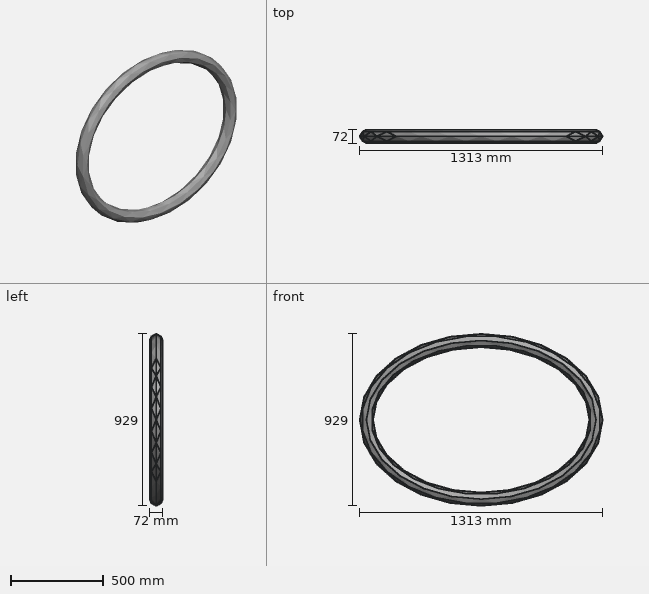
import cadquery as cq
import math


length = 1313.0
height = 929.0
thickness = 72.0

stations = 24
rows = 8

tube_radius = thickness / 2
path_half_length = length / 2 - tube_radius
path_half_height = height / 2 - tube_radius


def ring_point(row, step):
    """Facet corner on the tube; odd rows sit half a step ahead so the triangles interlock."""
    stagger = 0.5 * (row % 2)
    around_ring = 2 * math.pi * (step + stagger) / stations
    around_tube = 2 * math.pi * row / rows

    normal_x = path_half_height * math.cos(around_ring)
    normal_z = path_half_length * math.sin(around_ring)
    normal_length = math.hypot(normal_x, normal_z)

    outward = tube_radius * math.cos(around_tube) / normal_length
    return cq.Vector(
        path_half_length * math.cos(around_ring) + outward * normal_x,
        tube_radius * math.sin(around_tube),
        path_half_height * math.sin(around_ring) + outward * normal_z,
    )


def triangle(corners):
    return cq.Face.makeFromWires(cq.Wire.makePolygon(corners, close=True))


def facet_pair(row, step):
    """Two triangles filling the band between this row and the next, over one step."""
    next_row = (row + 1) % rows
    lead = row % 2
    near_start = ring_point(row, step)
    near_end = ring_point(row, step + 1)
    far_start = ring_point(next_row, step + lead)
    far_end = ring_point(next_row, step + lead + 1)
    return [
        triangle([near_start, near_end, far_start]),
        triangle([near_end, far_end, far_start]),
    ]


facets = []
for row in range(rows):
    for step in range(stations):
        facets.extend(facet_pair(row, step))

ring = cq.Solid.makeSolid(cq.Shell.makeShell(facets))
result = cq.Workplane("XY").newObject([ring.fix()])